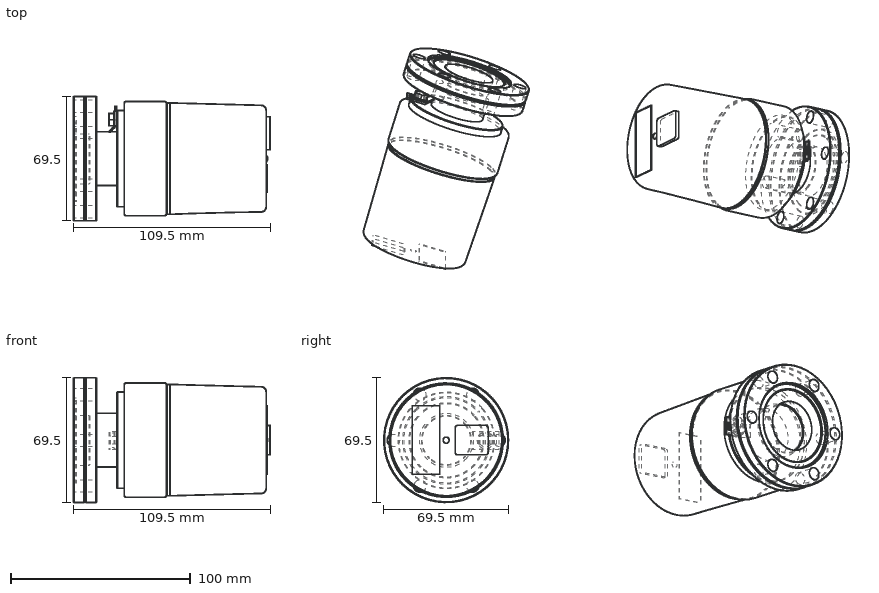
import cadquery as cq
import math


FLANGE_RADIUS = 34.75
FLANGE_THICKNESS = 6.5
FLANGE_PAIR_LENGTH = 2 * FLANGE_THICKNESS
FLANGE_CHAMFER = 0.4
JOINT_HALF_WIDTH = 0.7
JOINT_DEPTH = 0.4

RECESS_RADIUS = 24.4
RECESS_CHAMFER = 0.7
RECESS_DEPTH = 1.6
RECESS_FLOOR_RADIUS = RECESS_RADIUS - RECESS_CHAMFER
KNIFE_RADIUS = 20.95
KNIFE_INNER_RADIUS = 20.4
KNIFE_TIP_X = 0.7
INNER_FACE_X = 1.2
BORE_RADIUS = 13.9
BORE_END_X = 9.0
BORE_CORNER = 0.4

BOLT_COUNT = 6
BOLT_CIRCLE_RADIUS = 29.35
BOLT_HOLE_DIAMETER = 6.8

NECK_RADIUS = 15.0
COLLAR_FRONT_X = 24.2
COLLAR_RADIUS = 26.9
COLLAR_CHAMFER = 0.4
BODY_FRONT_X = 28.3
BODY_BACK_X = 51.8
BODY_RADIUS = 31.85
BODY_FILLET = 1.0

BAND_RADIUS = 31.1
GROOVE_WIDTH = 0.35
GROOVE_DEPTH = 0.3
CAP_FRONT_X = 53.9

CAP_END_X = 107.4
CAP_FRONT_RADIUS = 31.1
CAP_TAPER_DEG = 1.5
CAP_END_FILLET = 3.0

CONNECTOR_END_X = 109.5
CONNECTOR_CENTER_Y = 14.2
CONNECTOR_WIDTH_Y = 18.5
CONNECTOR_WIDTH_Z = 16.4
CONNECTOR_CORNER = 1.5
LABEL_THICKNESS = 0.45
LABEL_TOP_Y = -3.5
LABEL_BOTTOM_Y = -18.8
LABEL_WIDTH_Z = 38.0
LAMP_RADIUS = 1.7
LAMP_HEIGHT = 0.8

CLIP_THICKNESS = 1.1
CLIP_FRONT_X = COLLAR_FRONT_X - CLIP_THICKNESS
CLIP_TOP_Y = 29.2
CLIP_BEND_Y = 18.6
CLIP_WIDTH = 10.0
TAIL_THICKNESS = 0.5
TAIL_REACH = 4.0
SLOT_WIDTH = 4.2
SLOT_TOP_Y = 28.0
SCREW_Y = 21.75
WASHER_DIAMETER = 9.2
WASHER_THICKNESS = 0.7
SCREW_HEAD_ACROSS_FLATS = 7.0
SCREW_HEAD_HEIGHT = 2.6

OVERLAP = 0.5


def revolve_about_x(profile):
    """Turn a closed (X, radius) profile about the X axis."""
    return profile.close().revolve(360, (0, 0, 0), (1, 0, 0))


def yz_plane(x):
    """Plane at the given X, with local axes along Y and Z and its normal along +X."""
    return cq.Workplane("YZ", origin=(x, 0, 0))


def make_flanges():
    joint_start = FLANGE_THICKNESS - JOINT_HALF_WIDTH
    joint_end = FLANGE_THICKNESS + JOINT_HALF_WIDTH
    blank = revolve_about_x(
        cq.Workplane("XY")
        .moveTo(0, 0)
        .lineTo(0, FLANGE_RADIUS - FLANGE_CHAMFER)
        .lineTo(FLANGE_CHAMFER, FLANGE_RADIUS)
        .lineTo(joint_start, FLANGE_RADIUS)
        .lineTo(FLANGE_THICKNESS, FLANGE_RADIUS - JOINT_DEPTH)
        .lineTo(joint_end, FLANGE_RADIUS)
        .lineTo(FLANGE_PAIR_LENGTH - FLANGE_CHAMFER, FLANGE_RADIUS)
        .lineTo(FLANGE_PAIR_LENGTH, FLANGE_RADIUS - FLANGE_CHAMFER)
        .lineTo(FLANGE_PAIR_LENGTH, 0)
    )
    bolt_holes = (
        yz_plane(0)
        .polarArray(BOLT_CIRCLE_RADIUS, 0, 360, BOLT_COUNT)
        .circle(BOLT_HOLE_DIAMETER / 2)
        .extrude(FLANGE_PAIR_LENGTH)
    )
    return blank.cut(bolt_holes)


def make_seal_cavity():
    """Recess around the knife edge together with the blind bore."""
    return revolve_about_x(
        cq.Workplane("XY")
        .moveTo(0, 0)
        .lineTo(0, RECESS_RADIUS)
        .lineTo(RECESS_CHAMFER, RECESS_FLOOR_RADIUS)
        .lineTo(RECESS_DEPTH, RECESS_FLOOR_RADIUS)
        .lineTo(KNIFE_TIP_X, KNIFE_RADIUS)
        .lineTo(INNER_FACE_X, KNIFE_INNER_RADIUS)
        .lineTo(INNER_FACE_X, BORE_RADIUS)
        .lineTo(BORE_END_X - BORE_CORNER, BORE_RADIUS)
        .lineTo(BORE_END_X, BORE_RADIUS - BORE_CORNER)
        .lineTo(BORE_END_X, 0)
    )


def make_neck_and_collar():
    neck_start = FLANGE_PAIR_LENGTH - OVERLAP
    neck = yz_plane(neck_start).circle(NECK_RADIUS).extrude(COLLAR_FRONT_X + OVERLAP - neck_start)
    collar_length = BODY_FRONT_X + OVERLAP - COLLAR_FRONT_X
    collar = yz_plane(COLLAR_FRONT_X).circle(COLLAR_RADIUS).extrude(collar_length)
    collar = collar.faces("<X").edges().chamfer(COLLAR_CHAMFER)
    return neck.union(collar)


def make_body_and_cap():
    body = yz_plane(BODY_FRONT_X).circle(BODY_RADIUS).extrude(BODY_BACK_X - BODY_FRONT_X)
    body = body.edges("%CIRCLE").fillet(BODY_FILLET)

    groove_radius = BAND_RADIUS - GROOVE_DEPTH
    core_start = BODY_BACK_X - OVERLAP
    core = yz_plane(core_start).circle(groove_radius).extrude(CAP_FRONT_X + OVERLAP - core_start)
    band_length = CAP_FRONT_X - BODY_BACK_X - 2 * GROOVE_WIDTH
    band = yz_plane(BODY_BACK_X + GROOVE_WIDTH).circle(BAND_RADIUS).extrude(band_length)

    cap = yz_plane(CAP_FRONT_X).circle(CAP_FRONT_RADIUS)
    cap = cap.extrude(CAP_END_X - CAP_FRONT_X, taper=CAP_TAPER_DEG)
    cap = cap.faces(">X").edges().fillet(CAP_END_FILLET)
    return body.union(core).union(band).union(cap)


def make_connector():
    start = CAP_END_X - OVERLAP
    return (
        yz_plane(start)
        .center(CONNECTOR_CENTER_Y, 0)
        .rect(CONNECTOR_WIDTH_Y, CONNECTOR_WIDTH_Z)
        .extrude(CONNECTOR_END_X - start)
        .edges("|X")
        .fillet(CONNECTOR_CORNER)
    )


def make_label():
    return (
        yz_plane(CAP_END_X - OVERLAP)
        .center((LABEL_TOP_Y + LABEL_BOTTOM_Y) / 2, 0)
        .rect(LABEL_TOP_Y - LABEL_BOTTOM_Y, LABEL_WIDTH_Z)
        .extrude(OVERLAP + LABEL_THICKNESS)
    )


def make_lamp():
    """Small spherical dome in the middle of the cap end."""
    rim_height = LAMP_HEIGHT / 2
    sphere_radius = (LAMP_RADIUS**2 + LAMP_HEIGHT**2) / (2 * LAMP_HEIGHT)
    rim_radius = math.sqrt(sphere_radius**2 - (sphere_radius - rim_height) ** 2)
    return revolve_about_x(
        cq.Workplane("XY")
        .moveTo(CAP_END_X - OVERLAP, 0)
        .lineTo(CAP_END_X - OVERLAP, LAMP_RADIUS)
        .lineTo(CAP_END_X, LAMP_RADIUS)
        .threePointArc((CAP_END_X + LAMP_HEIGHT - rim_height, rim_radius), (CAP_END_X + LAMP_HEIGHT, 0))
    )


def make_earthing_clip():
    """Slotted plate on the collar with a tail bent 45 degrees towards the flange."""
    plate = (
        yz_plane(CLIP_FRONT_X)
        .center((CLIP_TOP_Y + CLIP_BEND_Y) / 2, 0)
        .rect(CLIP_TOP_Y - CLIP_BEND_Y, CLIP_WIDTH)
        .extrude(CLIP_THICKNESS)
    )
    slot = (
        yz_plane(CLIP_FRONT_X)
        .center((SLOT_TOP_Y + SCREW_Y) / 2, 0)
        .rect(SLOT_TOP_Y - SCREW_Y, SLOT_WIDTH)
        .extrude(CLIP_THICKNESS)
    )
    tail_offset = TAIL_THICKNESS * math.sqrt(2)
    tail_end_x = COLLAR_FRONT_X - TAIL_REACH
    tail_end_y = CLIP_BEND_Y - TAIL_REACH
    tail = (
        cq.Workplane("XY")
        .moveTo(COLLAR_FRONT_X, CLIP_BEND_Y)
        .lineTo(tail_end_x, tail_end_y)
        .lineTo(tail_end_x - tail_offset / 2, tail_end_y + tail_offset / 2)
        .lineTo(COLLAR_FRONT_X - tail_offset, CLIP_BEND_Y + OVERLAP)
        .lineTo(COLLAR_FRONT_X, CLIP_BEND_Y + OVERLAP)
        .close()
        .extrude(CLIP_WIDTH / 2, both=True)
    )
    return plate.cut(slot).union(tail)


def make_clip_screw():
    """Washer and hexagonal head, with one corner of the hexagon pointing along +Z."""
    washer = (
        yz_plane(CLIP_FRONT_X - WASHER_THICKNESS)
        .center(SCREW_Y, 0)
        .circle(WASHER_DIAMETER / 2)
        .extrude(WASHER_THICKNESS)
    )
    across_corners = SCREW_HEAD_ACROSS_FLATS / math.cos(math.pi / 6)
    head = (
        yz_plane(CLIP_FRONT_X - WASHER_THICKNESS - SCREW_HEAD_HEIGHT)
        .center(SCREW_Y, 0)
        .transformed(rotate=(0, 0, 90))
        .polygon(6, across_corners)
        .extrude(SCREW_HEAD_HEIGHT)
    )
    return washer.union(head)


result = make_flanges().cut(make_seal_cavity())
result = result.union(make_neck_and_collar()).union(make_body_and_cap())
result = result.union(make_connector()).union(make_label()).union(make_lamp())
result = result.union(make_earthing_clip()).union(make_clip_screw())